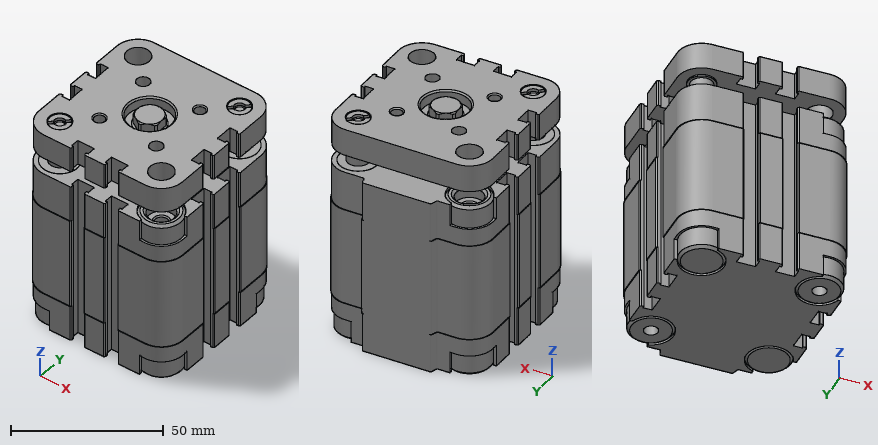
import cadquery as cq
import math

TOTAL_HEIGHT = 82.0
HOUSING_HEIGHT = 65.4
PLATE_THICKNESS = 10.0
END_CAP_HEIGHT = 14.5
EPS = 0.4

BARREL_HALF = 30.0
CAP_HALF = 29.8
PLATE_HALF = 29.7
CORNER_AXIS = 21.0
BARREL_CORNER_RADIUS = BARREL_HALF - CORNER_AXIS
CAP_CORNER_RADIUS = CAP_HALF - CORNER_AXIS
PLATE_CORNER_RADIUS = PLATE_HALF - CORNER_AXIS

RIDGE_TOP = 32.5
RIDGE_TOP_HALF = 12.95
RIDGE_BASE_HALF = 13.8
RIDGE_EDGE_RADIUS = 0.65
RIDGE_FOOT_RADIUS = 0.5

SLOT_OFFSET = 7.0
SLOT_FLOOR = 25.2
SLOT_LIP = 28.4
SLOT_WIDTH = 6.8
SLOT_MOUTH = 5.3
SLOT_CHAMFER = 0.4
SLOT_SIDES = (0, 90, -90)

HUB_DIAMETER = 16.0
HUB_CHAMFER = 1.0
NOTCH_START = 18.6
NOTCH_HEIGHT = 8.0

MOUNT_HOLE_DIAMETER = 5.0
MOUNT_RIM_DIAMETER = 6.0
MOUNT_BORE_DIAMETER = 10.1
MOUNT_BORE_DEPTH = 4.5
MOUNT_ENTRY_DIAMETER = 12.0

ROD_DIAMETER = 12.0
ROD_FLAT_WIDTH = 10.0
ROD_FLAT_BOTTOM = 67.4
GUIDE_DIAMETER = 8.0
GUIDE_COLLAR_DIAMETER = 10.0
GUIDE_COLLAR_HEIGHT = 0.6
ROD_END = HOUSING_HEIGHT - END_CAP_HEIGHT

BUSH_DIAMETER = 14.0
BUSH_RISE = 0.1

NUT_BORE_DIAMETER = 17.0
NUT_BORE_CHAMFER = 0.6
NUT_BORE_DEPTH = 4.1
NUT_WIDTH = 10.0
NUT_CORNER_DIAMETER = 11.0
NUT_HEIGHT = 3.85
SHOULDER_HEIGHT = 0.2
GUIDE_HEAD_DIAMETER = 8.5
GUIDE_HEAD_RECESS = 0.25
GUIDE_SOCKET_DIAMETER = 4.1
GUIDE_SOCKET_DEPTH = 1.6
GUIDE_SOCKET_CHAMFER = 0.3
GUIDE_SLOT_WIDTH = 1.4
GUIDE_SLOT_DEPTH = 1.3
ACCESS_DIAMETER = 9.0
FIXING_OFFSET = 11.7
FIXING_DIAMETER = 5.0
THREAD_DIAMETER = 4.1
THREAD_CHAMFER = (FIXING_DIAMETER - THREAD_DIAMETER) / 2

RISING = [(1, 1), (-1, -1)]
FALLING = [(1, -1), (-1, 1)]


def spots(signs, offset):
    """Turn corner signs into X, Y points."""
    return [(sx * offset, sy * offset) for sx, sy in signs]


def cylinder(diameter, bottom, top, point=(0, 0)):
    return cq.Workplane("XY", origin=(*point, bottom)).circle(diameter / 2).extrude(top - bottom)


def cone(bottom_diameter, top_diameter, bottom, top, point=(0, 0)):
    solid = cq.Solid.makeCone(bottom_diameter / 2, top_diameter / 2, top - bottom,
                              cq.Vector(*point, bottom))
    return cq.Workplane(obj=solid)


def rounded_block(half, radius, bottom, top):
    block = cq.Workplane("XY", origin=(0, 0, bottom)).rect(2 * half, 2 * half).extrude(top - bottom)
    return block.edges("|Z").fillet(radius)


def slot_cutter(half, bottom, top):
    """All six T-slots, two on each of three sides, for a block of the given half width."""
    outline = [(SLOT_MOUTH / 2 + SLOT_CHAMFER, -half), (SLOT_MOUTH / 2, SLOT_CHAMFER - half),
               (SLOT_MOUTH / 2, -SLOT_LIP), (SLOT_WIDTH / 2, -SLOT_LIP), (SLOT_WIDTH / 2, -SLOT_FLOOR)]
    outline += [(-x, y) for x, y in reversed(outline)]
    slot = cq.Workplane("XY", origin=(0, 0, bottom)).polyline(outline).close().extrude(top - bottom)
    cutter = cq.Workplane("XY")
    for side in SLOT_SIDES:
        for x in (-SLOT_OFFSET, SLOT_OFFSET):
            cutter = cutter.add(slot.translate((x, 0, 0)).rotate((0, 0, 0), (0, 0, 1), side))
    return cutter.combine()


def slotted_block(half, radius, bottom, top):
    """Square block with rounded corners and T-slots on the -Y, -X and +X sides."""
    return rounded_block(half, radius, bottom, top).cut(slot_cutter(half, bottom, top))


def ridge(half, bottom, top):
    """Ridge with sloped flanks and rounded outer edges, wider where the block is larger."""
    base_half = RIDGE_BASE_HALF + half - CAP_HALF
    top_half = RIDGE_TOP_HALF + half - CAP_HALF
    outline = [(-base_half, half), (-top_half, RIDGE_TOP), (top_half, RIDGE_TOP),
               (base_half, half), (base_half, 0), (-base_half, 0)]
    body = cq.Workplane("XY", origin=(0, 0, bottom)).polyline(outline).close().extrude(top - bottom)
    return body.edges("|Z and >Y").fillet(RIDGE_EDGE_RADIUS)


def housing_section(half, radius, bottom, top):
    """Slotted block with the ridge on +Y, filleted where the ridge meets the block."""
    body = slotted_block(half, radius, bottom, top).union(ridge(half, bottom, top))
    ridge_feet = cq.selectors.BoxSelector((-RIDGE_BASE_HALF - EPS, half - EPS, bottom),
                                          (RIDGE_BASE_HALF + EPS, half + EPS, top))
    return body.edges("|Z").edges(ridge_feet).fillet(RIDGE_FOOT_RADIUS)


def chamfered_hub(point, bottom, top, outer_edge):
    hub = cylinder(HUB_DIAMETER, bottom, top, point)
    return hub.faces(outer_edge).chamfer(HUB_CHAMFER)


def corner_notch(signs, bottom, top):
    """Block that clears one corner of a cap outside the hub."""
    size = BARREL_HALF + EPS - NOTCH_START
    centre = NOTCH_START + size / 2
    base = cq.Workplane("XY", origin=(signs[0] * centre, signs[1] * centre, bottom))
    return base.rect(size, size).extrude(top - bottom)


def add_hub(body, signs, bottom, top, outer_edge):
    """Replace one cap corner by a round hub with a chamfered end."""
    point = (signs[0] * CORNER_AXIS, signs[1] * CORNER_AXIS)
    body = body.cut(corner_notch(signs, bottom, top))
    body = body.cut(cylinder(HUB_DIAMETER, bottom, top, point))
    return body.union(chamfered_hub(point, bottom, top, outer_edge))


def mounting_hole(point):
    """Stepped through hole, from the top: entry cone, bore, rim cone and hole."""
    floor = HOUSING_HEIGHT - MOUNT_BORE_DEPTH
    entry_depth = (MOUNT_ENTRY_DIAMETER - MOUNT_BORE_DIAMETER) / 2
    rim_depth = (MOUNT_RIM_DIAMETER - MOUNT_HOLE_DIAMETER) / 2
    hole = cylinder(MOUNT_HOLE_DIAMETER, -EPS, HOUSING_HEIGHT, point)
    hole = hole.union(cone(MOUNT_HOLE_DIAMETER, MOUNT_RIM_DIAMETER, floor - rim_depth, floor, point))
    hole = hole.union(cylinder(MOUNT_BORE_DIAMETER, floor, HOUSING_HEIGHT, point))
    return hole.union(cone(MOUNT_BORE_DIAMETER, MOUNT_ENTRY_DIAMETER,
                           HOUSING_HEIGHT - entry_depth, HOUSING_HEIGHT, point))


def make_housing():
    barrel_top = HOUSING_HEIGHT - END_CAP_HEIGHT
    body = housing_section(BARREL_HALF, BARREL_CORNER_RADIUS, END_CAP_HEIGHT, barrel_top)
    body = body.union(housing_section(CAP_HALF, CAP_CORNER_RADIUS, 0, END_CAP_HEIGHT))
    body = body.union(housing_section(CAP_HALF, CAP_CORNER_RADIUS, barrel_top, HOUSING_HEIGHT))

    for signs in RISING + FALLING:
        body = add_hub(body, signs, 0, NOTCH_HEIGHT, "<Z")
    for signs in FALLING:
        body = add_hub(body, signs, HOUSING_HEIGHT - NOTCH_HEIGHT, HOUSING_HEIGHT, ">Z")
    for point in spots(FALLING, CORNER_AXIS):
        body = body.cut(mounting_hole(point))

    body = body.cut(cylinder(ROD_DIAMETER, ROD_END, HOUSING_HEIGHT))
    for point in spots(RISING, CORNER_AXIS):
        body = body.union(cylinder(BUSH_DIAMETER, ROD_END, HOUSING_HEIGHT + BUSH_RISE, point))
        body = body.cut(cylinder(GUIDE_DIAMETER, ROD_END, HOUSING_HEIGHT + BUSH_RISE, point))
    return body.solids()


def piston_rod(top):
    """Round rod with two wrench flats facing -Y and +Y."""
    rod = cylinder(ROD_DIAMETER, ROD_END, top)
    flats = cq.Workplane("XY", origin=(0, 0, ROD_END)).rect(ROD_DIAMETER, ROD_FLAT_WIDTH)
    flats = flats.extrude(top - ROD_END)
    return rod.intersect(flats.union(cylinder(ROD_DIAMETER, ROD_END, ROD_FLAT_BOTTOM)))


def nut(bottom):
    """Hexagon with flats facing -X and +X, trimmed to a round, chamfered upper end."""
    corner_diameter = 2 * NUT_WIDTH / math.sqrt(3)
    hexagon = cq.Workplane("XY", origin=(0, 0, bottom)).polygon(6, corner_diameter).extrude(NUT_HEIGHT)
    hexagon = hexagon.rotate((0, 0, 0), (0, 0, 1), 30)
    rim = cylinder(NUT_CORNER_DIAMETER, bottom, bottom + NUT_HEIGHT)
    rim = rim.faces(">Z").chamfer((NUT_CORNER_DIAMETER - NUT_WIDTH) / 2)
    return hexagon.intersect(rim)


def guide_head_cutter(point):
    """Recess, diagonal driver slot and socket in the upper end of a guide rod."""
    recess_floor = TOTAL_HEIGHT - GUIDE_HEAD_RECESS
    cutter = cone(GUIDE_DIAMETER, GUIDE_HEAD_DIAMETER, recess_floor, TOTAL_HEIGHT, point)
    socket = cylinder(GUIDE_SOCKET_DIAMETER, TOTAL_HEIGHT - GUIDE_SOCKET_DEPTH, TOTAL_HEIGHT, point)
    cutter = cutter.union(socket.faces("<Z").chamfer(GUIDE_SOCKET_CHAMFER))
    slot = cq.Workplane("XY", origin=(*point, TOTAL_HEIGHT - GUIDE_SLOT_DEPTH))
    slot = slot.transformed(rotate=(0, 0, 45)).rect(GUIDE_DIAMETER, GUIDE_SLOT_WIDTH)
    return cutter.union(slot.extrude(GUIDE_SLOT_DEPTH))


def make_plate():
    bottom = TOTAL_HEIGHT - PLATE_THICKNESS
    bore_floor = TOTAL_HEIGHT - NUT_BORE_DEPTH
    plate = slotted_block(PLATE_HALF, PLATE_CORNER_RADIUS, bottom, TOTAL_HEIGHT)

    plate = plate.cut(cylinder(NUT_BORE_DIAMETER, bore_floor, TOTAL_HEIGHT))
    plate = plate.cut(cone(NUT_BORE_DIAMETER, NUT_BORE_DIAMETER + 2 * NUT_BORE_CHAMFER,
                           TOTAL_HEIGHT - NUT_BORE_CHAMFER, TOTAL_HEIGHT))
    plate = plate.union(piston_rod(bottom)).union(nut(bore_floor))
    plate = plate.union(cylinder(ROD_DIAMETER, bore_floor, bore_floor + SHOULDER_HEIGHT))

    for point in spots(RISING, CORNER_AXIS):
        plate = plate.union(cylinder(GUIDE_DIAMETER, ROD_END, bottom, point))
        plate = plate.union(cylinder(GUIDE_COLLAR_DIAMETER, bottom - GUIDE_COLLAR_HEIGHT, bottom, point))
        plate = plate.cut(guide_head_cutter(point))
    for point in spots(FALLING, CORNER_AXIS):
        plate = plate.cut(cylinder(ACCESS_DIAMETER, bottom, TOTAL_HEIGHT, point))

    for point in spots(FALLING, FIXING_OFFSET):
        plate = plate.cut(cylinder(FIXING_DIAMETER, bottom, TOTAL_HEIGHT, point))
    for point in spots(RISING, FIXING_OFFSET):
        plate = plate.cut(cylinder(THREAD_DIAMETER, bottom, TOTAL_HEIGHT, point))
        plate = plate.cut(cone(THREAD_DIAMETER, FIXING_DIAMETER,
                               TOTAL_HEIGHT - THREAD_CHAMFER, TOTAL_HEIGHT, point))
    return plate.solids()


housing = make_housing()
moving_plate = make_plate()
result = cq.Compound.makeCompound([housing.val(), moving_plate.val()])